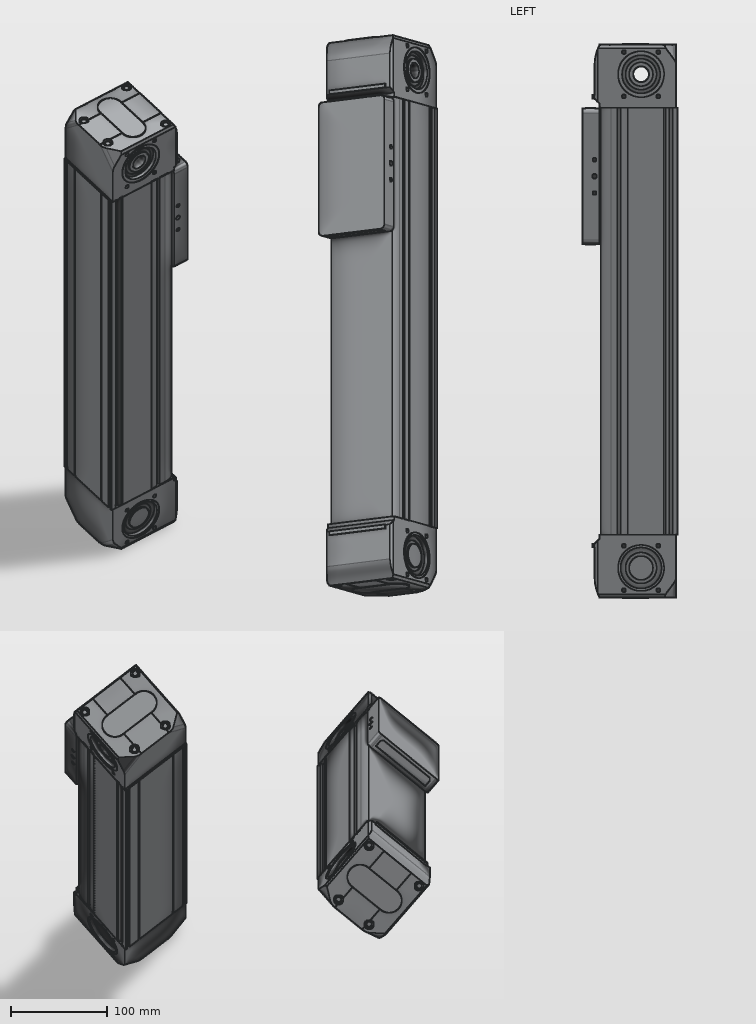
import cadquery as cq
import math


TOTAL_LENGTH = 575.0
MID_HEIGHT = TOTAL_LENGTH / 2

HEAD_WIDTH = 82.0
HEAD_FRONT = 2.0
HEAD_BACK = 81.0
HEAD_INNER_Z = 509.0
PAD_HEIGHT = 1.0
STRIP_HEIGHT = 0.5
HEAD_TOP = TOTAL_LENGTH - PAD_HEIGHT
SIDE_CHAMFER_X = 2.0
SIDE_CHAMFER_Z = 3.5

CORNER_CUT_X = 18.0
CORNER_CUT_Y = 13.0
CORNER_CUT_Z = 18.0
CORNER_RADIUS = 7.0

PAD_LENGTH = 65.5
PAD_WIDTH = 26.5
PAD_Y = 43.5
STRIP_WIDTH = 37.0

AXLE_Y = 38.0
AXLE_Z = 543.5
AXLE_BORE = 16.0
RIM_DIAMETER = 48.0
RIM_DEPTH = 0.5
TOP_SEAT_DIAMETER = 39.5
BOTTOM_SEAT_DIAMETER = 42.5
SEAT_DEPTH = 5.0
RING_DIAMETER = 32.0
RING_HEIGHT = 0.5
HUB_DIAMETER = 25.0
HUB_HEIGHT = 2.5

SIDE_HOLE_DIAMETER = 4.15
SIDE_HOLE_DEPTH = 6.0
SIDE_HOLE_OFFSET_Y = 18.0
SIDE_HOLE_OFFSET_Z = 23.0

SCREW_POCKET_DIAMETER = 10.0
SCREW_POCKET_DEPTH = 3.5
SCREW_HEAD_DIAMETER = 6.0
SCREW_HEAD_HEIGHT = 2.5
FRONT_SCREW_X = 20.5
FRONT_SCREW_Y = 10.5
BACK_SCREW_X = 34.0
BACK_SCREW_Y = 75.5

BULGE_BACK = 86.0
BULGE_SHOULDER_Z = 554.5
BULGE_LOWER_Z = 518.0
BULGE_END_Z = 513.0
BULGE_ARC_SAG = 1.0
BULGE_CHAMFER_X = 2.0
BULGE_CHAMFER_Y = 3.5
LIP_WIDTH = 69.0
LIP_BACK = 88.5
LIP_HEIGHT = 4.0

PROFILE_BACK = 80.0
PROFILE_HALF_WIDTH = HEAD_WIDTH / 2
BACK_HALF_WIDTH = 40.0
SIDE_STEP_Y = 52.0
BACK_CURVE_Y = 69.5
BACK_CURVE_RADIUS = 25.5
NOTCH_START_Y = 5.0
NOTCH_FLOOR_END_Y = 8.5
NOTCH_END_Y = 12.5
NOTCH_DEPTH = 3.5
CORNER_GROOVE_X = 37.5
CORNER_GROOVE_WIDTH = 3.5
CORNER_GROOVE_DEPTH = 2.0
FINE_GROOVE = 2.0
FRONT_GROOVE_X = 23.0
SIDE_GROOVE_Y = NOTCH_END_Y + FINE_GROOVE / 2
SENSOR_SLOT_START_Y = 59.0
SENSOR_SLOT_WIDTH = 3.5
SENSOR_SLOT_Y = SENSOR_SLOT_START_Y + SENSOR_SLOT_WIDTH / 2
SENSOR_SLOT_DEPTH = 3.0

CARRIAGE_WIDTH = 81.5
CARRIAGE_BACK = 99.0
CARRIAGE_FRONT = 81.0
CARRIAGE_LENGTH = 141.0
CARRIAGE_MID_Z = 437.5
CARRIAGE_RADIUS = 4.5
WIPER_WIDTH = 66.5
WIPER_FRONT = 85.5
WIPER_BACK = 95.5
WIPER_HEIGHT = 0.5
WIPER_CHAMFER = 2.5
LUBE_HOLE_DIAMETER = 4.95
PIN_HOLE_DIAMETER = 4.0
CARRIAGE_HOLE_Y = 86.0
CARRIAGE_HOLE_DEPTH = 6.0
PIN_HOLE_SPACING = 17.0


def block(x_size, y_range, z_range):
    """Box centred on X = 0 between two Y and two Z limits."""
    y_low, y_high = y_range
    z_low, z_high = z_range
    return (
        cq.Workplane("XY")
        .box(x_size, y_high - y_low, z_high - z_low, centered=(True, False, False))
        .translate((0, y_low, z_low))
    )


def side_cylinder(y, z, diameter, depth, side):
    """Cylinder along X going inwards from the head's or carriage's side; side is -1 or 1."""
    return cq.Workplane(
        cq.Solid.makeCylinder(
            diameter / 2, depth, cq.Vector(side * HEAD_WIDTH / 2, y, z), cq.Vector(-side, 0, 0)
        )
    )



def corner_wedge(side):
    """Tetrahedron that slants off one front corner of the end face."""
    corner = cq.Vector(side * HEAD_WIDTH / 2, HEAD_FRONT, HEAD_TOP)
    tips = [
        corner + cq.Vector(-side * CORNER_CUT_X, 0, 0),
        corner + cq.Vector(0, CORNER_CUT_Y, 0),
        corner + cq.Vector(0, 0, -CORNER_CUT_Z),
    ]
    triangles = [tips] + [[corner, tips[i], tips[(i + 1) % 3]] for i in range(3)]
    faces = [cq.Face.makeFromWires(cq.Wire.makePolygon(t, close=True)) for t in triangles]
    return cq.Workplane(cq.Solid.makeSolid(cq.Shell.makeShell(faces)))


def head_block():
    """Side outline with the bulged back, bevelled along its side edges."""
    middle_z = (BULGE_SHOULDER_Z + HEAD_TOP) / 2
    middle_y = (HEAD_BACK + BULGE_BACK) / 2 + BULGE_ARC_SAG
    blank = (
        cq.Workplane("YZ")
        .moveTo(HEAD_FRONT, HEAD_INNER_Z)
        .lineTo(HEAD_BACK, HEAD_INNER_Z)
        .lineTo(HEAD_BACK, BULGE_END_Z)
        .lineTo(BULGE_BACK, BULGE_LOWER_Z)
        .lineTo(BULGE_BACK, BULGE_SHOULDER_Z)
        .threePointArc((middle_y, middle_z), (HEAD_BACK, HEAD_TOP))
        .lineTo(HEAD_FRONT, HEAD_TOP)
        .close()
        .extrude(HEAD_WIDTH / 2, both=True)
    )
    end_limit = (
        block(HEAD_WIDTH, (HEAD_FRONT, BULGE_BACK), (HEAD_INNER_Z, HEAD_TOP))
        .faces(">Z")
        .edges("|Y")
        .chamfer(SIDE_CHAMFER_Z, SIDE_CHAMFER_X)
    )
    half_width = HEAD_WIDTH / 2
    back_limit = (
        cq.Workplane("XY", origin=(0, 0, HEAD_INNER_Z))
        .polyline(
            [
                (-half_width, HEAD_FRONT),
                (half_width, HEAD_FRONT),
                (half_width, BULGE_BACK - BULGE_CHAMFER_Y),
                (half_width - BULGE_CHAMFER_X, BULGE_BACK),
                (BULGE_CHAMFER_X - half_width, BULGE_BACK),
                (-half_width, BULGE_BACK - BULGE_CHAMFER_Y),
            ]
        )
        .close()
        .extrude(HEAD_TOP - HEAD_INNER_Z)
    )
    return blank.intersect(end_limit).intersect(back_limit)


def head_body():
    body = head_block()
    for side in (-1, 1):
        body = body.cut(corner_wedge(side))
    for side in (-1, 1):
        slant_middle_x = side * (HEAD_WIDTH - CORNER_CUT_X) / 2
        slant_middle_z = HEAD_TOP - CORNER_CUT_Z / 2
        front_slant = cq.selectors.NearestToPointSelector(
            (slant_middle_x, HEAD_FRONT, slant_middle_z)
        )
        body = body.edges(front_slant).fillet(CORNER_RADIUS)
    return body


def end_face_pads():
    strip = block(
        STRIP_WIDTH, (HEAD_FRONT, HEAD_BACK), (HEAD_TOP, HEAD_TOP + STRIP_HEIGHT)
    )
    pad = (
        cq.Workplane("XY", origin=(0, PAD_Y, HEAD_TOP))
        .slot2D(PAD_LENGTH, PAD_WIDTH)
        .extrude(PAD_HEIGHT)
    )
    return strip.union(pad)


def screw_pockets():
    """Ring-shaped pockets: each leaves the screw head standing on the pocket floor."""
    centres = [
        (side * x, y)
        for side in (-1, 1)
        for x, y in ((FRONT_SCREW_X, FRONT_SCREW_Y), (BACK_SCREW_X, BACK_SCREW_Y))
    ]
    pocket_height = SCREW_POCKET_DEPTH + STRIP_HEIGHT
    floor = cq.Workplane("XY", origin=(0, 0, HEAD_TOP - SCREW_POCKET_DEPTH)).pushPoints(centres)
    pockets = floor.circle(SCREW_POCKET_DIAMETER / 2).extrude(pocket_height)
    screw_heads = floor.circle(SCREW_HEAD_DIAMETER / 2).extrude(SCREW_HEAD_HEIGHT)
    return pockets.cut(screw_heads)


def belt_lip():
    """Small ledge across the lower end of the bulge."""
    return block(LIP_WIDTH, (HEAD_BACK, LIP_BACK), (BULGE_LOWER_Z, BULGE_LOWER_Z + LIP_HEIGHT))


def bearing_seat(seat_diameter, side):
    """Material to remove for the bearing seat in one side of a head."""
    def disc(diameter, depth):
        return side_cylinder(AXLE_Y, AXLE_Z, diameter, depth, side)

    seat = disc(seat_diameter, SEAT_DEPTH)
    ring = disc(RING_DIAMETER, SEAT_DEPTH).cut(disc(RING_DIAMETER, SEAT_DEPTH - RING_HEIGHT))
    hub = disc(HUB_DIAMETER, SEAT_DEPTH).cut(disc(HUB_DIAMETER, SEAT_DEPTH - HUB_HEIGHT))
    return seat.cut(ring).cut(hub).union(disc(RIM_DIAMETER, RIM_DEPTH))


def side_holes(side):
    holes = cq.Workplane()
    for along_y in (-SIDE_HOLE_OFFSET_Y, SIDE_HOLE_OFFSET_Y):
        for along_z in (-SIDE_HOLE_OFFSET_Z, SIDE_HOLE_OFFSET_Z):
            y = AXLE_Y + along_y
            z = AXLE_Z + along_z
            holes = holes.add(side_cylinder(y, z, SIDE_HOLE_DIAMETER, SIDE_HOLE_DEPTH, side))
    return holes.combine()


def make_head(seat_diameter):
    head = head_body().union(end_face_pads()).union(belt_lip()).cut(screw_pockets())
    for side in (-1, 1):
        head = head.cut(bearing_seat(seat_diameter, side)).cut(side_holes(side))
    return head



def make_profile():
    def curved_side(y):
        """Half width of the gently curved rear of the side."""
        drop = math.sqrt(BACK_CURVE_RADIUS**2 - (y - BACK_CURVE_Y) ** 2)
        return BACK_HALF_WIDTH - BACK_CURVE_RADIUS + drop

    curve_middle_y = (BACK_CURVE_Y + PROFILE_BACK) / 2
    half = (
        cq.Workplane("XY", origin=(0, 0, TOTAL_LENGTH - HEAD_INNER_Z))
        .moveTo(0, 0)
        .lineTo(PROFILE_HALF_WIDTH, 0)
        .lineTo(PROFILE_HALF_WIDTH, NOTCH_START_Y)
        .lineTo(PROFILE_HALF_WIDTH - NOTCH_DEPTH, NOTCH_START_Y)
        .lineTo(PROFILE_HALF_WIDTH - NOTCH_DEPTH, NOTCH_FLOOR_END_Y)
        .lineTo(PROFILE_HALF_WIDTH, NOTCH_END_Y)
        .lineTo(PROFILE_HALF_WIDTH, SIDE_STEP_Y)
        .lineTo(BACK_HALF_WIDTH, SIDE_STEP_Y)
        .lineTo(BACK_HALF_WIDTH, BACK_CURVE_Y)
        .threePointArc(
            (curved_side(curve_middle_y), curve_middle_y),
            (curved_side(PROFILE_BACK), PROFILE_BACK),
        )
        .lineTo(0, PROFILE_BACK)
        .close()
        .extrude(2 * HEAD_INNER_Z - TOTAL_LENGTH)
    )
    profile = half.union(half.mirror("YZ"))
    grooves = [
        (CORNER_GROOVE_X, 0, CORNER_GROOVE_WIDTH, 2 * CORNER_GROOVE_DEPTH),
        (FRONT_GROOVE_X, 0, FINE_GROOVE, 2 * FINE_GROOVE),
        (PROFILE_HALF_WIDTH, SIDE_GROOVE_Y, 2 * FINE_GROOVE, FINE_GROOVE),
        (BACK_HALF_WIDTH, SENSOR_SLOT_Y, 2 * SENSOR_SLOT_DEPTH, SENSOR_SLOT_WIDTH),
    ]
    for side in (-1, 1):
        for x, y, x_size, y_size in grooves:
            groove = cq.Workplane("XY").box(
                x_size, y_size, TOTAL_LENGTH, centered=(True, True, False)
            )
            profile = profile.cut(groove.translate((side * x, y, 0)))
    return profile



def make_carriage():
    low_z = CARRIAGE_MID_Z - CARRIAGE_LENGTH / 2
    high_z = CARRIAGE_MID_Z + CARRIAGE_LENGTH / 2
    plate = block(CARRIAGE_WIDTH, (CARRIAGE_FRONT, CARRIAGE_BACK), (low_z, high_z))
    plate = plate.edges("|Y").fillet(CARRIAGE_RADIUS)
    wipers = block(
        WIPER_WIDTH, (WIPER_FRONT, WIPER_BACK), (low_z - WIPER_HEIGHT, high_z + WIPER_HEIGHT)
    )
    wipers = wipers.edges("|Z and >Y").chamfer(WIPER_CHAMFER)
    carriage = plate.union(wipers)
    holes = [
        (-PIN_HOLE_SPACING, PIN_HOLE_DIAMETER),
        (0, LUBE_HOLE_DIAMETER),
        (PIN_HOLE_SPACING, PIN_HOLE_DIAMETER),
    ]
    for side in (-1, 1):
        for along_z, diameter in holes:
            hole = side_cylinder(
                CARRIAGE_HOLE_Y, CARRIAGE_MID_Z + along_z, diameter, CARRIAGE_HOLE_DEPTH, side
            )
            carriage = carriage.cut(hole)
    return carriage


axle_bore = side_cylinder(AXLE_Y, AXLE_Z, AXLE_BORE, HEAD_WIDTH, 1)
top_head = make_head(TOP_SEAT_DIAMETER).cut(axle_bore)
bottom_head = make_head(BOTTOM_SEAT_DIAMETER).mirror("XY", (0, 0, MID_HEIGHT))
profile = make_profile()
carriage = make_carriage()

result = cq.Compound.makeCompound(
    [top_head.val(), bottom_head.val(), profile.val(), carriage.val()]
)